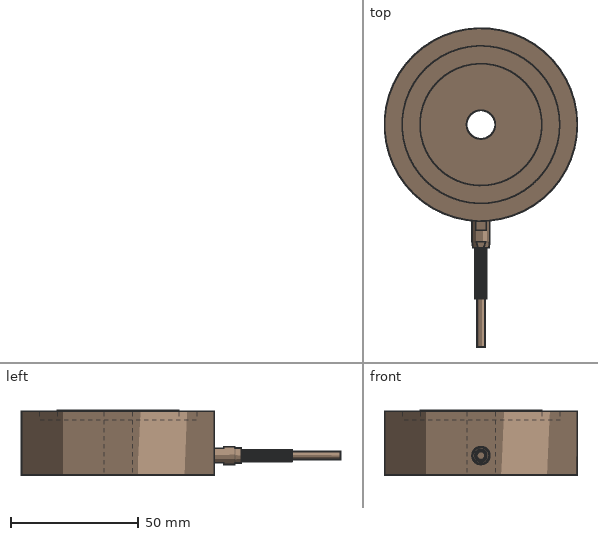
import cadquery as cq
import math

OVERALL_LENGTH = 125.2

BODY_DIAMETER = 75.7
BODY_HEIGHT = 25.0
BORE_DIAMETER = 11.1

RECESS_DIAMETER = 61.8
RECESS_DEPTH = 3.3
DISC_DIAMETER = 47.8
DISC_PROUD = 0.4

OUTLET_LENGTH = OVERALL_LENGTH - BODY_DIAMETER
OUTLET_HEIGHT = 7.6
ROOT_OVERLAP = 2.5

GLAND_DIAMETER = 7.0
GLAND_END = 8.0
GLAND_FLAT_END = 3.6
GLAND_ACROSS_FLATS = 5.8

NUT_END = 10.5
NUT_TIP_DIAMETER = 6.4
NUT_ACROSS_FLATS = 6.0

BOOT_DIAMETER = 4.8
BOOT_END = 30.4
RING_COUNT = 46
RING_DEPTH = 0.2
RING_PITCH = (BOOT_END - NUT_END) / RING_COUNT

CABLE_DIAMETER = 3.3

OUTLET_PLANE = cq.Plane(
    origin=(0, -BODY_DIAMETER / 2, OUTLET_HEIGHT), xDir=(1, 0, 0), normal=(0, -1, 0)
)


def outlet_rod(diameter, start, end):
    """Round rod on the outlet axis."""
    return cq.Workplane(OUTLET_PLANE).workplane(offset=start).circle(diameter / 2).extrude(end - start)


def make_body():
    body = cq.Workplane("XY").circle(BODY_DIAMETER / 2).extrude(BODY_HEIGHT)
    recess = (
        cq.Workplane("XY")
        .workplane(offset=BODY_HEIGHT - RECESS_DEPTH)
        .circle(RECESS_DIAMETER / 2)
        .extrude(RECESS_DEPTH)
    )
    disc = cq.Workplane("XY").circle(DISC_DIAMETER / 2).extrude(BODY_HEIGHT + DISC_PROUD)
    bore = cq.Workplane("XY").circle(BORE_DIAMETER / 2).extrude(BODY_HEIGHT + DISC_PROUD)
    return body.cut(recess).union(disc).cut(bore)


def make_gland():
    """Round gland with a pair of wrench flats, above and below, next to the body."""
    root = (
        cq.Workplane(OUTLET_PLANE)
        .workplane(offset=-ROOT_OVERLAP)
        .rect(GLAND_DIAMETER, GLAND_ACROSS_FLATS)
        .extrude(ROOT_OVERLAP + GLAND_FLAT_END)
        .intersect(outlet_rod(GLAND_DIAMETER, -ROOT_OVERLAP, GLAND_FLAT_END))
    )
    return root.union(outlet_rod(GLAND_DIAMETER, GLAND_FLAT_END, GLAND_END))


def make_nut():
    """Shallow cone with a pair of flats, above and below."""
    length = NUT_END - GLAND_END
    base = cq.Workplane(OUTLET_PLANE).workplane(offset=GLAND_END)
    taper = math.degrees(math.atan((GLAND_DIAMETER - NUT_TIP_DIAMETER) / 2 / length))
    cone = base.circle(GLAND_DIAMETER / 2).extrude(length, taper=taper)
    return cone.intersect(base.rect(GLAND_DIAMETER, NUT_ACROSS_FLATS).extrude(length))


def make_boot():
    """Row of rounded rings, turned about the outlet axis."""
    crest = BOOT_DIAMETER / 2
    valley = crest - RING_DEPTH
    axial_plane = cq.Plane(origin=OUTLET_PLANE.origin.toTuple(), xDir=(0, -1, 0), normal=(1, 0, 0))
    profile = cq.Workplane(axial_plane).moveTo(NUT_END, 0).lineTo(NUT_END, valley)
    for ring in range(RING_COUNT):
        start = NUT_END + ring * RING_PITCH
        profile = profile.threePointArc((start + RING_PITCH / 2, crest), (start + RING_PITCH, valley))
    return profile.lineTo(BOOT_END, 0).close().revolve(360, (0, 0), (1, 0))


result = (
    make_body()
    .union(make_gland())
    .union(make_nut())
    .union(make_boot())
    .union(outlet_rod(CABLE_DIAMETER, NUT_END, OUTLET_LENGTH))
)